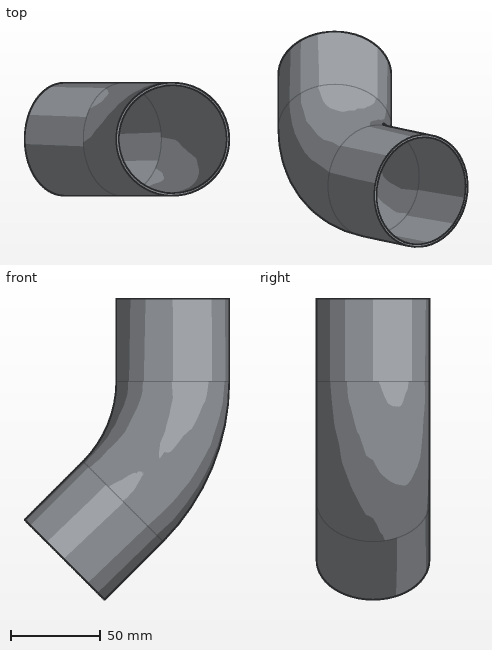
import cadquery as cq
import math

total_height = 168.8
outer_diameter = 63.5
wall = 1.5
bend_radius = 1.5 * outer_diameter
bend_angle = 45

outer_radius = outer_diameter / 2
inner_radius = outer_radius - wall

bend_sine = math.sin(math.radians(bend_angle))
bend_drop = (bend_radius + outer_radius) * bend_sine
straight_length = (total_height - bend_drop) / (1 + bend_sine)


def ring(plane):
    """Pipe cross-section on the given plane."""
    return cq.Workplane(plane).circle(outer_radius).circle(inner_radius)


upper_pipe = ring("XY").extrude(straight_length)
bend = ring("XY").revolve(bend_angle, (-bend_radius, 0, 0), (-bend_radius, 1, 0))

lower_pipe = (
    ring("XY")
    .extrude(-straight_length)
    .rotate((-bend_radius, 0, 0), (-bend_radius, 1, 0), bend_angle)
)

result = upper_pipe.union(bend).union(lower_pipe)